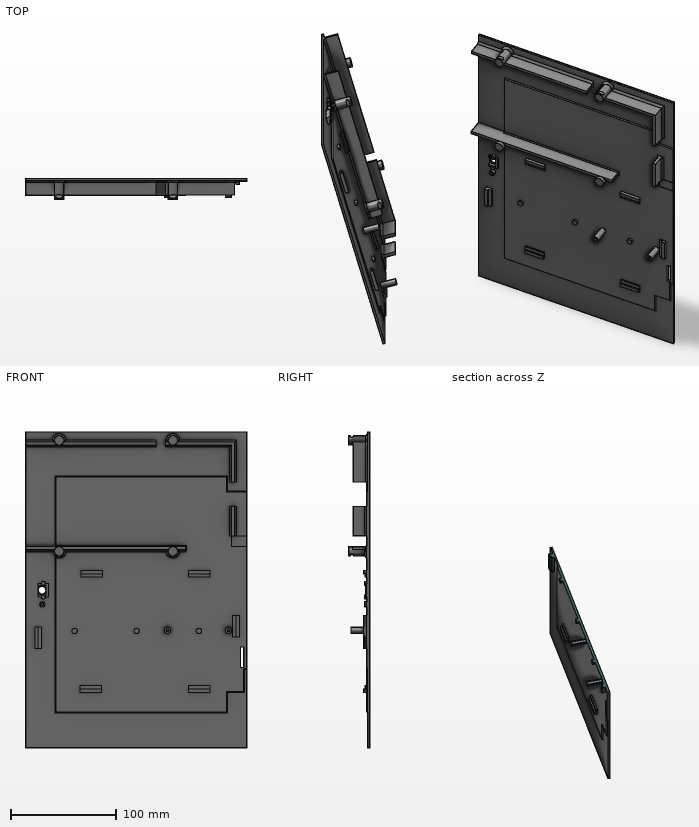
import cadquery as cq
WIDTH = 210.0
HEIGHT = 300.0
PLATE_THICKNESS = 2.0

BEVEL_ANGLE = 45
PANEL_RISE = 1.0
PANEL_FACE = PLATE_THICKNESS + PANEL_RISE
PANEL_LEFT = 28.0
PANEL_SHOULDER_X = 191.5
PANEL_LUG_X = 207.5
PANEL_TOP = 258.3
PANEL_UPPER_SHOULDER = 244.0
PANEL_LUG_TOP = 74.5
PANEL_LOWER_SHOULDER = 52.5
PANEL_BOTTOM = 33.3

RAIL_THICKNESS = 3.0
UPPER_RAIL_TIP = 16.0
MIDDLE_RAIL_TIP = 16.5
FOOT = 2.0
SLIM_FOOT = 1.0
UPPER_RAIL_TOP = 290.5
UPPER_RAIL_BOTTOM = UPPER_RAIL_TOP - RAIL_THICKNESS
LEFT_RAIL_END = 124.0
CORNER_RAIL_START = 132.5
SIDE_RAIL_RIGHT = 198.3
SIDE_RAIL_LEFT = SIDE_RAIL_RIGHT - RAIL_THICKNESS
CORNER_RAIL_END = 252.3
SIDE_RAIL_TOP = 229.2
SIDE_RAIL_BOTTOM = 201.3
MIDDLE_RAIL_TOP = 191.0
MIDDLE_RAIL_BOTTOM = MIDDLE_RAIL_TOP - RAIL_THICKNESS
MIDDLE_RAIL_END = 151.5

POST_DIAMETER = 9.0
POST_RADIUS = POST_DIAMETER / 2
POST_TIP = 20.0
POST_XS = (31.8, 139.8)
NOTCH_DIAMETER = 3.0
NOTCH_DEPTH = 17.0

RELIEF_DEPTH = 0.3
RELIEF_TOP = SIDE_RAIL_BOTTOM
RELIEF_BOTTOM = MIDDLE_RAIL_TOP

CLIP_LENGTH = 20.5
CLIP_WIDTH = 6.5
CLIP_LIP_TIP = 6.0
CLIP_LEDGE_TIP = 4.5
CLIPS = (
    (52.5, 162.0, "top"),
    (154.5, 162.0, "top"),
    (51.5, 52.5, "bottom"),
    (154.5, 52.5, "bottom"),
    (8.7, 94.2, "left"),
    (196.2, 105.3, "right"),
)

PIN_DIAMETER = 5.0
PIN_TIP = 5.0
PIN_Z = 111.0
PIN_XS = (46.5, 105.3, 164.5)
STANDOFF_DIAMETER = 6.0
STANDOFF_BORE = 2.5
STANDOFF_TIP = 18.0
STANDOFF_Z = 111.5
STANDOFF_XS = (134.7, 192.5)

SOCKET_X = 16.8
SOCKET_Z = 149.7
SOCKET_WIDTH = 10.0
SOCKET_HEIGHT = 13.0
SOCKET_TIP = 4.0
SOCKET_LEFT = SOCKET_X - SOCKET_WIDTH / 2
SOCKET_RIGHT = SOCKET_X + SOCKET_WIDTH / 2
SOCKET_BOTTOM = SOCKET_Z - SOCKET_HEIGHT / 2
SOCKET_TOP = SOCKET_Z + SOCKET_HEIGHT / 2
POCKET_WIDTH = 7.5
POCKET_HEIGHT = 9.0
POCKET_FLOOR = PLATE_THICKNESS / 2
SOCKET_HOLE = 7.2
SOCKET_PIN_DIAMETER = 4.0
SOCKET_PIN_TIP = PLATE_THICKNESS + 3.0

CUP_X = 16.0
CUP_Z = 136.2
CUP_DIAMETER = 5.0
CUP_BORE = 2.5

WINDOW_LEFT = 204.0
WINDOW_RIGHT = 207.0
WINDOW_BOTTOM = 76.5
WINDOW_TOP = 95.7


def front_plane(depth=0.0):
    """Sketch plane with local axes X and Z, extruding toward -Y."""
    return cq.Workplane("XZ", origin=(0, -depth, 0))


def block(x_min, x_max, z_min, z_max, start, tip):
    sketch = front_plane(start).center((x_min + x_max) / 2, (z_min + z_max) / 2)
    return sketch.rect(x_max - x_min, z_max - z_min).extrude(tip - start)


def cylinder(x, z, diameter, start, tip):
    return front_plane(start).center(x, z).circle(diameter / 2).extrude(tip - start)


def raised_panel():
    """Panel whose outline overshoots the right edge, so that end is trimmed square."""
    far = WIDTH + 3
    outline = [
        (PANEL_LEFT, PANEL_TOP),
        (PANEL_SHOULDER_X, PANEL_TOP),
        (PANEL_SHOULDER_X, PANEL_UPPER_SHOULDER),
        (far, PANEL_UPPER_SHOULDER),
        (far, PANEL_LUG_TOP),
        (PANEL_LUG_X, PANEL_LUG_TOP),
        (PANEL_LUG_X, PANEL_LOWER_SHOULDER),
        (PANEL_SHOULDER_X, PANEL_LOWER_SHOULDER),
        (PANEL_SHOULDER_X, PANEL_BOTTOM),
        (PANEL_LEFT, PANEL_BOTTOM),
    ]
    sketch = front_plane(PLATE_THICKNESS).polyline(outline).close()
    panel = sketch.extrude(PANEL_RISE, taper=BEVEL_ANGLE)
    return panel.intersect(block(0, WIDTH, 0, HEIGHT, 0, PANEL_FACE))


def bevelled_foot(outline, face, size):
    """Foot around a closed outline, sloping down to the given face."""
    sketch = front_plane(face).polyline(outline).close().offset2D(size, "intersection")
    return sketch.extrude(size, taper=BEVEL_ANGLE)


def rail(outline, face, tip, x_range, z_range):
    """Wall over a closed outline with a foot on the face, trimmed square to the given ranges."""
    wall = front_plane().polyline(outline).close().extrude(tip)
    foot = bevelled_foot(outline, face, FOOT)
    return wall.union(foot).intersect(block(*x_range, *z_range, 0, tip))


def straight_outline(x_min, x_max, z_min, z_max):
    return [(x_min, z_min), (x_max, z_min), (x_max, z_max), (x_min, z_max)]


def upper_left_rail():
    outline = straight_outline(-FOOT, LEFT_RAIL_END + FOOT, UPPER_RAIL_BOTTOM, UPPER_RAIL_TOP)
    return rail(outline, PLATE_THICKNESS, UPPER_RAIL_TIP, (0, LEFT_RAIL_END), (0, HEIGHT))


def corner_rail():
    start = CORNER_RAIL_START - FOOT
    end = CORNER_RAIL_END - FOOT
    outline = [
        (start, UPPER_RAIL_TOP),
        (SIDE_RAIL_RIGHT, UPPER_RAIL_TOP),
        (SIDE_RAIL_RIGHT, end),
        (SIDE_RAIL_LEFT, end),
        (SIDE_RAIL_LEFT, UPPER_RAIL_BOTTOM),
        (start, UPPER_RAIL_BOTTOM),
    ]
    x_range = (CORNER_RAIL_START, WIDTH)
    return rail(outline, PLATE_THICKNESS, UPPER_RAIL_TIP, x_range, (CORNER_RAIL_END, HEIGHT))


def side_rail():
    outline = straight_outline(
        SIDE_RAIL_LEFT, SIDE_RAIL_RIGHT, SIDE_RAIL_BOTTOM - FOOT, SIDE_RAIL_TOP + FOOT
    )
    return rail(outline, PANEL_FACE, UPPER_RAIL_TIP, (0, WIDTH), (SIDE_RAIL_BOTTOM, SIDE_RAIL_TOP))


def middle_rail():
    """Rail running from the plate onto the panel, with a slim foot above and at its end."""
    end = MIDDLE_RAIL_END
    outline = straight_outline(-FOOT, end, MIDDLE_RAIL_BOTTOM, MIDDLE_RAIL_TOP)
    on_plate = rail(outline, PLATE_THICKNESS, MIDDLE_RAIL_TIP, (0, end), (0, MIDDLE_RAIL_TOP))
    foot_on_panel = bevelled_foot(outline, PANEL_FACE, FOOT).intersect(
        block(PANEL_LEFT, end, 0, MIDDLE_RAIL_TOP, 0, MIDDLE_RAIL_TIP)
    )
    slim_foot = bevelled_foot(outline, PANEL_FACE, SLIM_FOOT).intersect(
        block(PANEL_LEFT, WIDTH, 0, HEIGHT, 0, MIDDLE_RAIL_TIP)
    )
    return on_plate.union(foot_on_panel).union(slim_foot)


def post(x, z, notch_side):
    """Post with a cross notch on its upper (+1) or lower (-1) side."""
    notch_z = z + notch_side * POST_RADIUS
    notch_sketch = cq.Workplane("YZ", origin=(x - POST_RADIUS, -NOTCH_DEPTH, notch_z))
    notch = notch_sketch.circle(NOTCH_DIAMETER / 2).extrude(POST_DIAMETER)
    return cylinder(x, z, POST_DIAMETER, 0, POST_TIP).cut(notch)


def conical_foot(x, z, face):
    sketch = front_plane(face).center(x, z).circle(POST_RADIUS + FOOT)
    return sketch.extrude(FOOT, taper=BEVEL_ANGLE)


def clip(x, z, lip_side):
    """Clip with its lower left corner at (x, z); its lip lies on the named side."""
    upright = lip_side in ("left", "right")
    size_x = CLIP_WIDTH if upright else CLIP_LENGTH
    size_z = CLIP_LENGTH if upright else CLIP_WIDTH
    half = CLIP_WIDTH / 2
    lip_x = (x, x + size_x)
    lip_z = (z, z + size_z)
    if lip_side == "left":
        lip_x = (x, x + half)
    elif lip_side == "right":
        lip_x = (x + half, x + size_x)
    elif lip_side == "bottom":
        lip_z = (z, z + half)
    else:
        lip_z = (z + half, z + size_z)
    ledge = block(x, x + size_x, z, z + size_z, 0, CLIP_LEDGE_TIP)
    return ledge.union(block(*lip_x, *lip_z, 0, CLIP_LIP_TIP))


def standoff(x):
    tube = cylinder(x, STANDOFF_Z, STANDOFF_DIAMETER, 0, STANDOFF_TIP)
    return tube.cut(cylinder(x, STANDOFF_Z, STANDOFF_BORE, PANEL_FACE, STANDOFF_TIP))


def socket():
    body = block(SOCKET_LEFT, SOCKET_RIGHT, SOCKET_BOTTOM, SOCKET_TOP, 0, SOCKET_TIP)
    for pin_z in (SOCKET_BOTTOM, SOCKET_TOP):
        body = body.union(cylinder(SOCKET_X, pin_z, SOCKET_PIN_DIAMETER, 0, SOCKET_PIN_TIP))
    return body


def socket_opening():
    """Square pocket, open on the left of the socket, with a round hole through its floor."""
    half = POCKET_HEIGHT / 2
    pocket_right = SOCKET_LEFT + POCKET_WIDTH
    pocket = block(
        SOCKET_LEFT, pocket_right, SOCKET_Z - half, SOCKET_Z + half, POCKET_FLOOR, SOCKET_TIP
    )
    hole_x = (SOCKET_LEFT + pocket_right) / 2
    return pocket.union(cylinder(hole_x, SOCKET_Z, SOCKET_HOLE, 0, SOCKET_TIP))


def cup():
    body = cylinder(CUP_X, CUP_Z, CUP_DIAMETER, 0, SOCKET_PIN_TIP)
    return body.cut(cylinder(CUP_X, CUP_Z, CUP_BORE, PLATE_THICKNESS, SOCKET_PIN_TIP))


result = block(0, WIDTH, 0, HEIGHT, 0, PLATE_THICKNESS).union(raised_panel())
relief_floor = PANEL_FACE - RELIEF_DEPTH
result = result.cut(
    block(SIDE_RAIL_LEFT, WIDTH, RELIEF_BOTTOM, RELIEF_TOP, relief_floor, PANEL_FACE)
)

for wall in (upper_left_rail(), corner_rail(), side_rail(), middle_rail()):
    result = result.union(wall)

upper_post_z = UPPER_RAIL_BOTTOM + POST_RADIUS
middle_post_z = MIDDLE_RAIL_TOP - POST_RADIUS
above_upper_rail = block(0, WIDTH, UPPER_RAIL_BOTTOM, HEIGHT, 0, POST_TIP)
below_middle_rail = block(PANEL_LEFT, WIDTH, 0, MIDDLE_RAIL_TOP, 0, POST_TIP)
for post_x in POST_XS:
    upper_foot = conical_foot(post_x, upper_post_z, PLATE_THICKNESS).intersect(above_upper_rail)
    middle_foot = conical_foot(post_x, middle_post_z, PANEL_FACE).intersect(below_middle_rail)
    result = result.union(post(post_x, upper_post_z, 1)).union(upper_foot)
    result = result.union(post(post_x, middle_post_z, -1)).union(middle_foot)

for clip_x, clip_z, side in CLIPS:
    result = result.union(clip(clip_x, clip_z, side))
for pin_x in PIN_XS:
    result = result.union(cylinder(pin_x, PIN_Z, PIN_DIAMETER, 0, PIN_TIP))
for standoff_x in STANDOFF_XS:
    result = result.union(standoff(standoff_x))

result = result.union(socket()).cut(socket_opening()).union(cup())
result = result.cut(block(WINDOW_LEFT, WINDOW_RIGHT, WINDOW_BOTTOM, WINDOW_TOP, 0, PANEL_FACE))